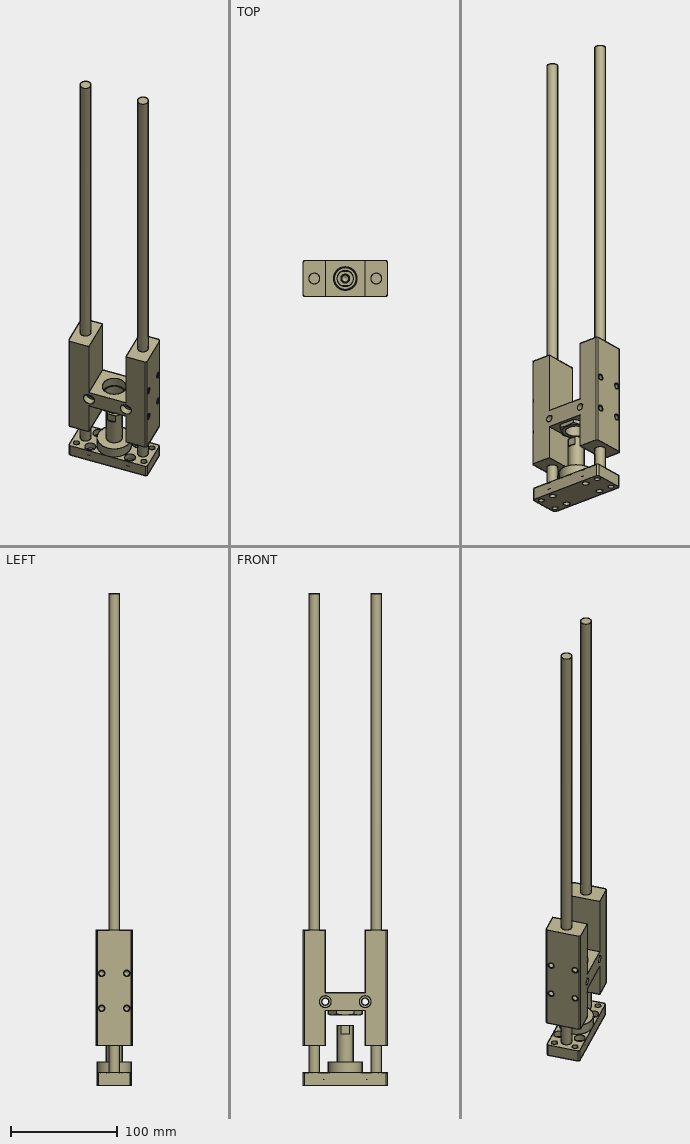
import cadquery as cq
import math

TOTAL_HEIGHT = 460.0
WIDTH = 79.0

DRILL_TIP_ANGLE = 118

HOUSING_DEPTH = 34.0
HOUSING_BOTTOM = 37.3
HOUSING_TOP = 145.5
LEG_GAP = 37.3
CROSSBAR_BOTTOM = 70.0
CROSSBAR_HEIGHT = 17.0
CORNER_CHAMFER = 1.5
PORT_DIAMETER = 20.2
PORT_BORE_DIAMETER = 22.0
PORT_BORE_DEPTH = 9.0

COLLAR_CORNER_DIAMETER = 32.0
COLLAR_HEIGHT = 4.0
COLLAR_TIP_DIAMETER = 26.5
COLLAR_CONE_ANGLE = 20
COLLAR_SIDES = 6

MOUNT_SPACING = 37.3
MOUNT_DIAMETER = 6.5
MOUNT_BORE_DIAMETER = 11.0
MOUNT_BORE_DEPTH = 7.0

SIDE_HOLE_DIAMETER = 5.0
SIDE_HOLE_MOUTH = 6.0
SIDE_HOLE_DEPTH = 7.0
SIDE_HOLE_SPACING_Y = 23.5
SIDE_HOLE_LOW_Z = 72.0
SIDE_HOLE_SPACING_Z = 32.5

PLATE_DEPTH = 32.0
PLATE_HEIGHT = 12.0
ROD_DIAMETER = 10.0
ROD_SPACING = 58.0
FLANGE_DIAMETER = 32.0
FLANGE_TOP = 22.0
POST_DIAMETER = 15.0
POST_TOP = 56.0
POST_FLATS_WIDTH = 13.0
POST_FLATS_HEIGHT = 8.0
POST_HOLE_DIAMETER = 6.5
POST_HOLE_MOUTH = 8.5
POST_HOLE_DEPTH = 14.0

PLATE_HOLE_SPACING_Y = 20.2
CORNER_HOLE_DIAMETER = 5.5
CORNER_HOLE_SPACING_X = 68.0
SCREW_SPACING_X = 40.0
SCREW_DIAMETER = 6.5
SCREW_BORE_DIAMETER = 10.0
SCREW_BORE_DEPTH = 6.5

ROD_POINTS = [(-ROD_SPACING / 2, 0), (ROD_SPACING / 2, 0)]
AXIS = [(0, 0)]


def block(width, depth, bottom, top):
    """Box centred on the Z axis between two heights."""
    return (
        cq.Workplane("XY", origin=(0, 0, bottom))
        .rect(width, depth)
        .extrude(top - bottom)
    )


def cylinders(points, diameter, bottom, top):
    """Vertical cylinders of one diameter at the given XY points."""
    return (
        cq.Workplane("XY", origin=(0, 0, bottom))
        .pushPoints(points)
        .circle(diameter / 2)
        .extrude(top - bottom)
    )


def mirrored_grid(spacing_x, spacing_y):
    """Four XY points placed symmetrically about the origin."""
    return [
        (side_x * spacing_x / 2, side_y * spacing_y / 2)
        for side_x in (-1, 1)
        for side_y in (-1, 1)
    ]


def drilled_hole(diameter, mouth_diameter, depth):
    """Cutter for a blind hole going down -Z from the origin: 45 degree mouth and conical drill tip."""
    radius = diameter / 2
    mouth_radius = mouth_diameter / 2
    tip_height = radius / math.tan(math.radians(DRILL_TIP_ANGLE / 2))
    return (
        cq.Workplane("XZ")
        .lineTo(mouth_radius, 0)
        .lineTo(radius, radius - mouth_radius)
        .lineTo(radius, -depth)
        .lineTo(0, -depth - tip_height)
        .close()
        .revolve()
    )


def collar():
    """Hexagonal collar with conically relieved lower corners."""
    bottom = CROSSBAR_BOTTOM - COLLAR_HEIGHT
    hexagon = (
        cq.Workplane("XY", origin=(0, 0, bottom))
        .polygon(COLLAR_SIDES, COLLAR_CORNER_DIAMETER)
        .extrude(COLLAR_HEIGHT)
    )
    tip_radius = COLLAR_TIP_DIAMETER / 2
    top_radius = tip_radius + COLLAR_HEIGHT / math.tan(math.radians(COLLAR_CONE_ANGLE))
    cone = (
        cq.Workplane("XZ", origin=(0, 0, bottom))
        .lineTo(tip_radius, 0)
        .lineTo(top_radius, COLLAR_HEIGHT)
        .lineTo(0, COLLAR_HEIGHT)
        .close()
        .revolve()
    )
    return hexagon.intersect(cone)


def mount_holes():
    """Cutter for the two counterbored holes running from the front face to the back."""
    middle_z = CROSSBAR_BOTTOM + CROSSBAR_HEIGHT / 2
    front = cq.Workplane("XZ", origin=(0, -HOUSING_DEPTH / 2, middle_z))
    points = [(-MOUNT_SPACING / 2, 0), (MOUNT_SPACING / 2, 0)]
    through = front.pushPoints(points).circle(MOUNT_DIAMETER / 2).extrude(-HOUSING_DEPTH)
    bores = front.pushPoints(points).circle(MOUNT_BORE_DIAMETER / 2).extrude(-MOUNT_BORE_DEPTH)
    return through.union(bores)


def side_holes(side):
    """Blind holes in the side face at -X (side = -1) or +X (side = 1)."""
    cutter = drilled_hole(SIDE_HOLE_DIAMETER, SIDE_HOLE_MOUTH, SIDE_HOLE_DEPTH)
    cutter = cutter.rotate((0, 0, 0), (0, 1, 0), side * 90)
    holes = cq.Workplane("XY")
    for y in (-SIDE_HOLE_SPACING_Y / 2, SIDE_HOLE_SPACING_Y / 2):
        for z in (SIDE_HOLE_LOW_Z, SIDE_HOLE_LOW_Z + SIDE_HOLE_SPACING_Z):
            holes = holes.add(cutter.translate((side * WIDTH / 2, y, z)))
    return holes.combine()


def make_housing():
    """H-shaped guide block with its collar, bores and mounting holes."""
    crossbar_top = CROSSBAR_BOTTOM + CROSSBAR_HEIGHT
    body = block(WIDTH, HOUSING_DEPTH, HOUSING_BOTTOM, HOUSING_TOP)
    body = body.edges("|Z").chamfer(CORNER_CHAMFER)
    body = body.cut(block(LEG_GAP, HOUSING_DEPTH, HOUSING_BOTTOM, CROSSBAR_BOTTOM))
    body = body.cut(block(LEG_GAP, HOUSING_DEPTH, crossbar_top, HOUSING_TOP))
    body = body.union(collar())
    body = body.cut(cylinders(AXIS, PORT_DIAMETER, CROSSBAR_BOTTOM - COLLAR_HEIGHT, crossbar_top))
    body = body.cut(cylinders(AXIS, PORT_BORE_DIAMETER, crossbar_top - PORT_BORE_DEPTH, crossbar_top))
    body = body.cut(cylinders(ROD_POINTS, ROD_DIAMETER, HOUSING_BOTTOM, HOUSING_TOP))
    body = body.cut(mount_holes())
    for side in (-1, 1):
        body = body.cut(side_holes(side))
    return body


def plate():
    """End plate with corner holes and counterbored screw holes."""
    corner_points = mirrored_grid(CORNER_HOLE_SPACING_X, PLATE_HOLE_SPACING_Y)
    screw_points = mirrored_grid(SCREW_SPACING_X, PLATE_HOLE_SPACING_Y)
    body = block(WIDTH, PLATE_DEPTH, 0, PLATE_HEIGHT).edges("|Z").chamfer(CORNER_CHAMFER)
    body = body.cut(cylinders(corner_points, CORNER_HOLE_DIAMETER, 0, PLATE_HEIGHT))
    body = body.cut(cylinders(screw_points, SCREW_DIAMETER, 0, PLATE_HEIGHT))
    return body.cut(
        cylinders(screw_points, SCREW_BORE_DIAMETER, PLATE_HEIGHT - SCREW_BORE_DEPTH, PLATE_HEIGHT)
    )


def post():
    """Central post with two wrench flats and a blind hole in its top."""
    flats_bottom = POST_TOP - POST_FLATS_HEIGHT
    body = cylinders(AXIS, POST_DIAMETER, FLANGE_TOP, POST_TOP)
    outside_flats = block(POST_DIAMETER, POST_DIAMETER, flats_bottom, POST_TOP).cut(
        block(POST_DIAMETER, POST_FLATS_WIDTH, flats_bottom, POST_TOP)
    )
    body = body.cut(outside_flats)
    hole = drilled_hole(POST_HOLE_DIAMETER, POST_HOLE_MOUTH, POST_HOLE_DEPTH)
    return body.cut(hole.translate((0, 0, POST_TOP)))


def make_carriage():
    """Sliding part: plate, flange, post and the two guide rods."""
    body = plate()
    body = body.union(cylinders(AXIS, FLANGE_DIAMETER, PLATE_HEIGHT, FLANGE_TOP))
    body = body.union(post())
    return body.union(cylinders(ROD_POINTS, ROD_DIAMETER, PLATE_HEIGHT, TOTAL_HEIGHT))


housing = make_housing()
carriage = make_carriage()

result = cq.Compound.makeCompound([housing.val(), carriage.val()])